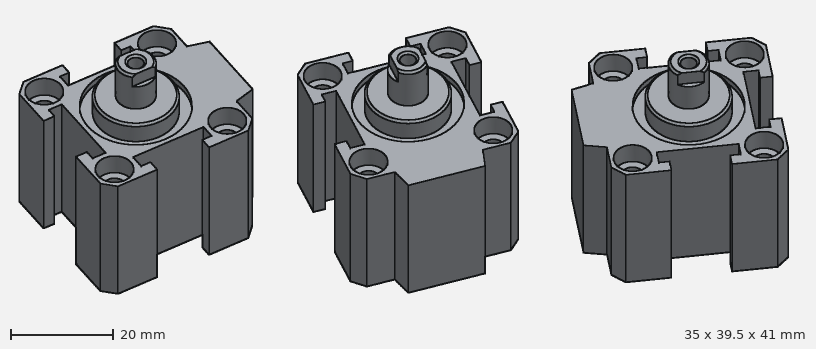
import cadquery as cq

block_width = 35.0
block_height = 29.0
corner_chamfer = 2.5
half_width = block_width / 2

total_depth = 39.5
rail_height = total_depth - block_width
rail_base_width = 18.35
rail_top_width = 16.0

slot_mouth_width = 11.97
slot_inner_width = 16.25
slot_lip = 2.5
slot_depth = 5.5

hole_spacing = 26.0
hole_diameter = 4.3
counterbore_diameter = 7.5
counterbore_depth = 4.45

recess_diameter = 22.0
recess_depth = 1.48
collar_diameter = 17.0
collar_projection = 3.05
collar_chamfer = 0.5
recess_floor = block_height - recess_depth
collar_top = block_height + collar_projection

rod_diameter = 8.0
rod_top = 41.0
rod_chamfer = 0.5
flat_spacing = 6.0
flat_length = 3.0
rod_bore_diameter = 3.25
rod_bore_mouth_diameter = 4.15
rod_bore_depth = 8.2


def make_block():
    """Square block with chamfered vertical corners and the tapered rail."""
    block = (
        cq.Workplane("XY")
        .rect(block_width, block_width)
        .extrude(block_height)
        .edges("|Z")
        .chamfer(corner_chamfer)
    )
    rail = (
        cq.Workplane("XY")
        .polyline([
            (-rail_base_width / 2, half_width),
            (-rail_top_width / 2, half_width + rail_height),
            (rail_top_width / 2, half_width + rail_height),
            (rail_base_width / 2, half_width),
        ])
        .close()
        .extrude(block_height)
    )
    return block.union(rail)


def make_slot(angle):
    """T-slot cutter for the -Y side, turned by the angle about the rod axis."""
    mouth = (
        cq.Workplane("XY")
        .center(0, -half_width + slot_depth / 2)
        .rect(slot_mouth_width, slot_depth)
        .extrude(block_height)
    )
    inner_depth = slot_depth - slot_lip
    inner = (
        cq.Workplane("XY")
        .center(0, -half_width + slot_lip + inner_depth / 2)
        .rect(slot_inner_width, inner_depth)
        .extrude(block_height)
    )
    return mouth.union(inner).rotate((0, 0, 0), (0, 0, 1), angle)


def make_collar():
    """Chamfered collar rising from the recess floor."""
    return (
        cq.Workplane("XY", origin=(0, 0, recess_floor))
        .circle(collar_diameter / 2)
        .extrude(collar_top - recess_floor)
        .faces(">Z")
        .edges()
        .chamfer(collar_chamfer)
    )


def make_housing():
    """Slotted block with corner holes, collar and a socket for the rod."""
    body = make_block()
    for angle in (-90, 0, 90):
        body = body.cut(make_slot(angle))
    body = (
        body.faces(">Z")
        .workplane(origin=(0, 0, block_height))
        .rect(hole_spacing, hole_spacing, forConstruction=True)
        .vertices()
        .cboreHole(hole_diameter, counterbore_diameter, counterbore_depth)
    )
    recess = (
        cq.Workplane("XY", origin=(0, 0, recess_floor))
        .circle(recess_diameter / 2)
        .extrude(recess_depth)
    )
    rod_socket = (
        cq.Workplane("XY", origin=(0, 0, recess_floor))
        .circle(rod_diameter / 2)
        .extrude(collar_top - recess_floor)
    )
    return body.cut(recess).union(make_collar()).cut(rod_socket)


def make_rod():
    """Rod with two wrench flats and a countersunk blind bore in its end."""
    rod = (
        cq.Workplane("XY", origin=(0, 0, recess_floor))
        .circle(rod_diameter / 2)
        .extrude(rod_top - recess_floor)
        .faces(">Z")
        .edges()
        .chamfer(rod_chamfer)
    )
    flat_cut_width = (rod_diameter - flat_spacing) / 2
    flat_cut_offset = (rod_diameter + flat_spacing) / 4
    flat_cuts = (
        cq.Workplane("XY", origin=(0, 0, rod_top - flat_length))
        .pushPoints([(-flat_cut_offset, 0), (flat_cut_offset, 0)])
        .rect(flat_cut_width, rod_diameter)
        .extrude(flat_length)
    )
    return (
        rod.cut(flat_cuts)
        .faces(">Z")
        .workplane(origin=(0, 0, rod_top))
        .cskHole(rod_bore_diameter, rod_bore_mouth_diameter, 90, depth=rod_bore_depth)
    )


housing = make_housing()
rod = make_rod()

result = cq.Compound.makeCompound([housing.val(), rod.val()])